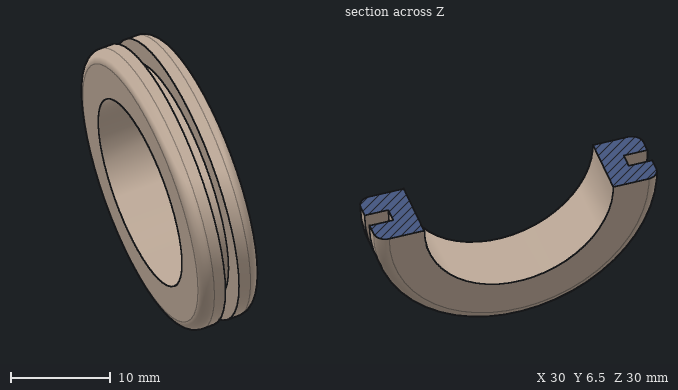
import cadquery as cq

outer_diameter = 30.0
groove_diameter = 25.0
bore_diameter = 20.0
total_width = 6.5
groove_width = 1.5
rim_radius = 1.25


def cylinder_along_y(diameter, width):
    """Solid cylinder on the Y axis, centred on the origin."""
    end_plane = cq.Workplane("XZ", origin=(0, width / 2, 0))
    return end_plane.circle(diameter / 2).extrude(width)


def grommet_body():
    """Full-width disc with both end rims rounded."""
    return cylinder_along_y(outer_diameter, total_width).edges("%CIRCLE").fillet(rim_radius)


def panel_groove():
    """Ring that is removed to leave the groove between the two flanges."""
    groove_core = cylinder_along_y(groove_diameter, groove_width)
    return cylinder_along_y(outer_diameter, groove_width).cut(groove_core)


bore = cylinder_along_y(bore_diameter, total_width)

result = grommet_body().cut(panel_groove()).cut(bore)